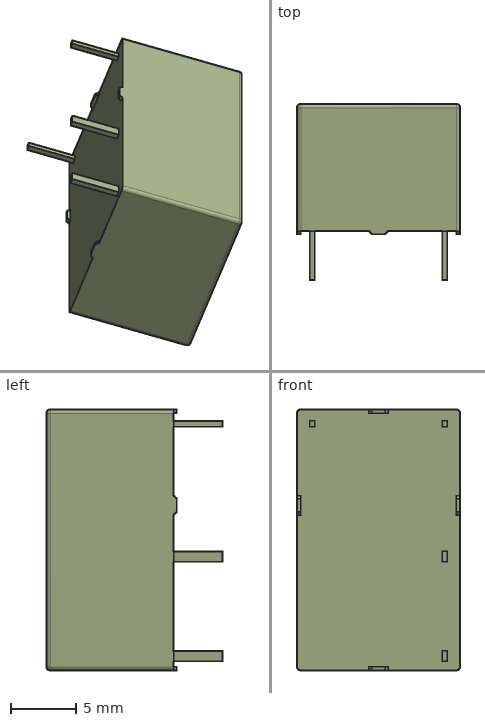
import cadquery as cq

BODY_WIDTH = 12.5
BODY_DEPTH = 9.75
BODY_HEIGHT = 20.0
EDGE_RADIUS = 0.3

TAB_LENGTH = 1.5
TAB_THICKNESS = 0.3
TAB_HEIGHT = 0.25
TAB_TAPER = TAB_HEIGHT
SIDE_TAB_DROP = 7.35

GRID = 2.54
PIN_REACH = 3.5
PIN_THICKNESS = 0.4
COIL_PIN_HEIGHT = 0.45
CONTACT_PIN_HEIGHT = 0.8
PIN_X = 2 * GRID
COIL_TO_COMMON = 4 * GRID
COMMON_TO_CONTACT = 3 * GRID

PIN_FACE_Y = TAB_HEIGHT
TOP_PIN_Z = (COIL_TO_COMMON + COMMON_TO_CONTACT) / 2
COMMON_PIN_Z = TOP_PIN_Z - COIL_TO_COMMON
BOTTOM_PIN_Z = COMMON_PIN_Z - COMMON_TO_CONTACT
SIDE_TAB_Z = BODY_HEIGHT / 2 - SIDE_TAB_DROP


def make_body():
    """Box with rounded long edges and a rounded back; the pin face stays sharp."""
    body = cq.Workplane("XY").box(BODY_WIDTH, BODY_DEPTH, BODY_HEIGHT, centered=(True, False, True))
    body = body.edges("|Y or >Y").fillet(EDGE_RADIUS)
    return body.translate((0, PIN_FACE_Y, 0))


def make_tab():
    """Tapered tab lying along X, centred on the Y axis, with its tip at Y = 0."""
    half_base = TAB_LENGTH / 2
    half_tip = half_base - TAB_TAPER
    outline = [
        (-half_base, TAB_HEIGHT),
        (-half_tip, 0),
        (half_tip, 0),
        (half_base, TAB_HEIGHT),
    ]
    return cq.Workplane("XY").polyline(outline).close().extrude(TAB_THICKNESS / 2, both=True)


def make_pin(x, z, height):
    """Straight rectangular pin from the pin face outward along -Y."""
    length = PIN_FACE_Y + PIN_REACH
    pin = cq.Workplane("XY").box(PIN_THICKNESS, length, height, centered=(True, False, True))
    return pin.translate((x, -PIN_REACH, z))


result = make_body()

flat_tab = make_tab()
upright_tab = flat_tab.rotate((0, 0, 0), (0, 1, 0), 90)
tab_x = (BODY_WIDTH - TAB_THICKNESS) / 2
tab_z = (BODY_HEIGHT - TAB_THICKNESS) / 2
for side in (-1, 1):
    result = result.union(flat_tab.translate((0, 0, side * tab_z)))
    result = result.union(upright_tab.translate((side * tab_x, 0, SIDE_TAB_Z)))

for x in (-PIN_X, PIN_X):
    result = result.union(make_pin(x, TOP_PIN_Z, COIL_PIN_HEIGHT))
for z in (COMMON_PIN_Z, BOTTOM_PIN_Z):
    result = result.union(make_pin(PIN_X, z, CONTACT_PIN_HEIGHT))